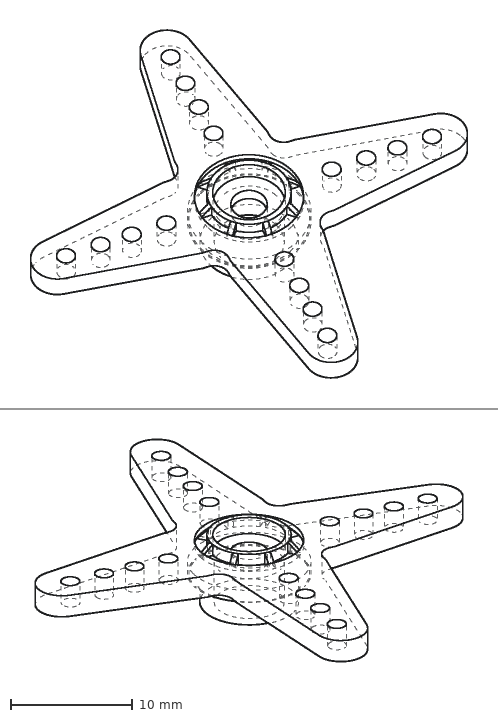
import cadquery as cq
import math

total_height = 6.3
plate_bottom = 3.8
plate_top = 5.8
flange_bottom = 2.7
socket_depth = 3.73
bore_depth = 1.5

arm_reach = 19.42
tip_radius = 2.2
arm_root_half_width = 4.15
taper_start = 5.9
corner_radius = 1.3
arm_hole_diameter = 1.55
arm_hole_distances = (7.42, 10.53, 13.33, 16.45)
arm_angles = (0, 90, 180, 270)

hub_diameter = 8.15
flange_diameter = 10.2
flare_top_diameter = 10.0
flare_radius = 2.0
socket_diameter = 5.8
screw_hole_diameter = 3.0

bore_diameter = 6.0
collar_diameter = 6.95
groove_diameter = 9.0
rib_width = 0.5
rib_count = 8
rib_run = (groove_diameter - collar_diameter) / 2
groove_floor = total_height - rib_run


def cylinder(diameter, bottom, top):
    return cq.Workplane("XY").workplane(offset=bottom).circle(diameter / 2).extrude(top - bottom)


def make_arm():
    """One arm along +X: a short parallel root, then a taper tangent to the round tip."""
    tip_center = arm_reach - tip_radius
    span = tip_center - taper_start
    corner_distance = math.hypot(span, arm_root_half_width)
    tangent_angle = math.atan2(arm_root_half_width, -span) - math.acos(tip_radius / corner_distance)
    tangent_x = tip_center + tip_radius * math.cos(tangent_angle)
    tangent_y = tip_radius * math.sin(tangent_angle)
    return (
        cq.Workplane("XY")
        .workplane(offset=plate_bottom)
        .moveTo(0, -arm_root_half_width)
        .lineTo(taper_start, -arm_root_half_width)
        .lineTo(tangent_x, -tangent_y)
        .threePointArc((arm_reach, 0), (tangent_x, tangent_y))
        .lineTo(taper_start, arm_root_half_width)
        .lineTo(0, arm_root_half_width)
        .close()
        .extrude(plate_top - plate_bottom)
    )


def make_corner_web(angle):
    """Fills the inner corner between two neighbouring arms with a concave round."""
    inner = arm_root_half_width
    outer = inner + corner_radius
    arc_middle = outer - corner_radius * math.sqrt(0.5)
    return (
        cq.Workplane("XY")
        .workplane(offset=plate_bottom)
        .lineTo(outer, 0)
        .lineTo(outer, inner)
        .threePointArc((arc_middle, arc_middle), (inner, outer))
        .lineTo(0, outer)
        .close()
        .extrude(plate_top - plate_bottom)
        .rotate((0, 0, 0), (0, 0, 1), angle)
    )


def make_plate():
    arm = make_arm()
    plate = arm
    for angle in arm_angles:
        plate = plate.union(arm.rotate((0, 0, 0), (0, 0, 1), angle))
        plate = plate.union(make_corner_web(angle))
    hole_centers = [
        (distance * math.cos(math.radians(angle)), distance * math.sin(math.radians(angle)))
        for angle in arm_angles
        for distance in arm_hole_distances
    ]
    holes = (
        cq.Workplane("XY")
        .workplane(offset=plate_bottom)
        .pushPoints(hole_centers)
        .circle(arm_hole_diameter / 2)
        .extrude(plate_top - plate_bottom)
    )
    return plate.cut(holes)


def make_hub():
    """Revolved hub: straight neck, concave flare and a flange under the plate."""
    neck = hub_diameter / 2
    flare_top = flare_top_diameter / 2
    arc_center_x = neck + flare_radius
    flare_angle = math.acos((arc_center_x - flare_top) / flare_radius)
    arc_center_z = flange_bottom - flare_radius * math.sin(flare_angle)
    arc_middle = (
        arc_center_x - flare_radius * math.cos(flare_angle / 2),
        arc_center_z + flare_radius * math.sin(flare_angle / 2),
    )
    return (
        cq.Workplane("XZ")
        .lineTo(neck, 0)
        .lineTo(neck, arc_center_z)
        .threePointArc(arc_middle, (flare_top, flange_bottom))
        .lineTo(flange_diameter / 2, flange_bottom)
        .lineTo(flange_diameter / 2, plate_bottom)
        .lineTo(0, plate_bottom)
        .close()
        .revolve(360, (0, 0, 0), (0, 1, 0))
    )


def make_ribs():
    """Triangular ribs from the collar down to the groove floor."""
    rib_inner = (bore_diameter + collar_diameter) / 4
    rib = (
        cq.Workplane("XZ")
        .moveTo(rib_inner, groove_floor)
        .lineTo(groove_diameter / 2, groove_floor)
        .lineTo(collar_diameter / 2, total_height)
        .lineTo(rib_inner, total_height)
        .close()
        .extrude(rib_width / 2, both=True)
    )
    ribs = rib
    for index in range(1, rib_count):
        ribs = ribs.union(rib.rotate((0, 0, 0), (0, 0, 1), index * 360 / rib_count))
    return ribs


body = make_plate().union(make_hub())
body = body.cut(cylinder(groove_diameter, groove_floor, plate_top))
body = body.union(cylinder(collar_diameter, groove_floor, total_height)).union(make_ribs())
body = body.cut(cylinder(bore_diameter, total_height - bore_depth, total_height))
body = body.cut(cylinder(socket_diameter, 0, socket_depth))
result = body.cut(cylinder(screw_hole_diameter, 0, total_height))